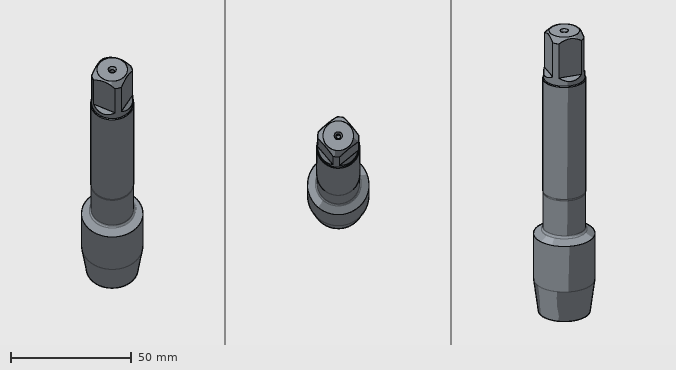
import cadquery as cq
import math

total_length = 129.5
lead_length = 14.6
head_top = 35.7
shank_bottom = 54.9
shank_top = 107.9
flat_bottom = 111.5

tip_diameter = 21.8
head_diameter = 25.6
neck_diameter = 17.7
shank_diameter = 18.0
drive_diameter = 17.2
drive_top_diameter = 12.7
center_diameter = 2.0
center_mouth_diameter = 3.4

drive_width = 14.0
neck_fillet = 1.3
shoulder_angle = 30.0
shank_lower_chamfer_length = 0.8
shank_upper_chamfer_length = 0.4
center_depth = 3.2
center_mouth_angle = 60.0
center_point_angle = 118.0

head_radius = head_diameter / 2
neck_radius = neck_diameter / 2
shank_radius = shank_diameter / 2
drive_radius = drive_diameter / 2
drive_top_radius = drive_top_diameter / 2
shoulder_slope = math.tan(math.radians(shoulder_angle))
shoulder_top = head_top + (head_radius - neck_radius) * shoulder_slope
drive_bevel = drive_radius - drive_top_radius


def make_cutting_head():
    """Threaded head as a plain cylinder with a tapered lead."""
    lead = (
        cq.Workplane("XY")
        .circle(tip_diameter / 2)
        .workplane(offset=lead_length)
        .circle(head_radius)
        .loft(ruled=True)
    )
    barrel = cq.Workplane("XY").workplane(offset=lead_length).circle(head_radius).extrude(head_top - lead_length)
    return lead.union(barrel)


def make_turned_shank():
    """Revolved shoulder, neck, shank and round blank of the drive end."""
    outline = (
        cq.Workplane("XZ")
        .moveTo(0, head_top)
        .lineTo(head_radius, head_top)
        .lineTo(neck_radius, shoulder_top)
        .lineTo(neck_radius, shank_bottom)
        .lineTo(shank_radius, shank_bottom + shank_lower_chamfer_length)
        .lineTo(shank_radius, shank_top - shank_upper_chamfer_length)
        .lineTo(drive_radius, shank_top)
        .lineTo(drive_radius, total_length - drive_bevel)
        .lineTo(drive_top_radius, total_length)
        .lineTo(0, total_length)
        .close()
    )
    turned = outline.revolve(360, (0, 0, 0), (0, 1, 0))
    neck_corner = cq.selectors.BoxSelector(
        (-head_radius, -head_radius, shoulder_top - neck_fillet / 2),
        (head_radius, head_radius, shoulder_top + neck_fillet / 2),
    )
    return turned.edges(neck_corner).fillet(neck_fillet)


def make_flat_cutter(angle):
    """Cutter for one flat of the square, with a 45 degree run-out at its lower end."""
    flat_distance = drive_width / 2
    reach = head_radius - flat_distance
    profile = (
        cq.Workplane("XZ")
        .moveTo(flat_distance, flat_bottom)
        .lineTo(head_radius, flat_bottom - reach)
        .lineTo(head_radius, total_length)
        .lineTo(flat_distance, total_length)
        .close()
    )
    cutter = profile.extrude(shank_radius, both=True)
    return cutter.rotate((0, 0, 0), (0, 0, 1), angle)


def make_center_hole():
    """Blind centre hole with a tapered mouth and a conical drill point."""
    center_radius = center_diameter / 2
    mouth_radius = center_mouth_diameter / 2
    mouth_depth = (mouth_radius - center_radius) / math.tan(math.radians(center_mouth_angle / 2))
    point_length = center_radius / math.tan(math.radians(center_point_angle / 2))
    return (
        cq.Workplane("XZ")
        .moveTo(0, total_length)
        .lineTo(mouth_radius, total_length)
        .lineTo(center_radius, total_length - mouth_depth)
        .lineTo(center_radius, total_length - center_depth)
        .lineTo(0, total_length - center_depth - point_length)
        .close()
        .revolve(360, (0, 0, 0), (0, 1, 0))
    )


def make_shank():
    """Turned shank with a square drive and a centre hole in its top face."""
    shank = make_turned_shank()
    for angle in (0, 90, 180, 270):
        shank = shank.cut(make_flat_cutter(angle))
    return shank.cut(make_center_hole())


cutting_head = make_cutting_head()
shank = make_shank()

result = cq.Compound.makeCompound([cutting_head.val(), shank.val()])